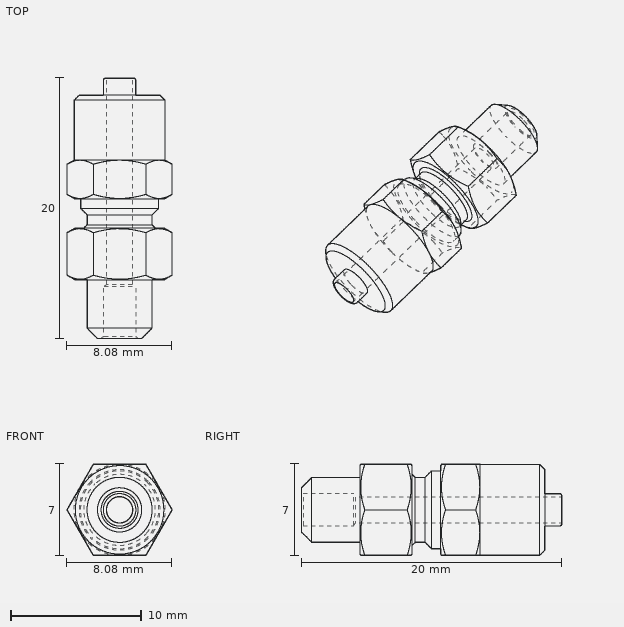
import cadquery as cq
import math

total_length = 20.0

across_flats = 7.0
face_radius = 3.4
chamfer_angle = 30.0
corner_radius = across_flats / 2 / math.cos(math.radians(30))

body_hex_start = 4.5
body_hex_end = 8.5
nut_start = 10.7
nut_hex_end = 13.7
nut_end = 18.7
collar_cone_start = 9.5
collar_cone_end = 10.0

stub_radius = 2.5
collar_radius = 3.0
nut_radius = across_flats / 2
tube_radius = 1.25
bore_radius = 1.0

stub_chamfer = 0.8
neck_flare = 0.25
nut_chamfer = 0.4
tube_fillet = 0.18

mouth_radius = 1.42
seat_radius = 1.25
mouth_depth = mouth_radius - seat_radius
seat_depth = 4.0
drill_point_angle = 118.0
seat_cone_length = (seat_radius - bore_radius) / math.tan(math.radians(drill_point_angle / 2))


def revolve_profile(points):
    """Revolve (radius, y) points about the Y axis."""
    return cq.Workplane("XY").polyline(points).close().revolve(360, (0, 0, 0), (0, 1, 0))


def chamfered_hexagon(start, end, start_face_radius, end_face_radius):
    """Hexagon along Y with corners pointing along X and conical chamfers on both faces."""
    prism = (
        cq.Workplane("XZ", origin=(0, start, 0))
        .polygon(6, 2 * corner_radius)
        .extrude(start - end)
    )
    slope = math.tan(math.radians(chamfer_angle))
    start_drop = (corner_radius - start_face_radius) * slope
    end_drop = (corner_radius - end_face_radius) * slope
    envelope = revolve_profile([
        (0, start),
        (start_face_radius, start),
        (corner_radius, start + start_drop),
        (corner_radius, end - end_drop),
        (end_face_radius, end),
        (0, end),
    ])
    return prism.intersect(envelope)


turned_body = revolve_profile([
    (0, 0),
    (stub_radius - stub_chamfer, 0),
    (stub_radius, stub_chamfer),
    (stub_radius, body_hex_start),
    (stub_radius + neck_flare, body_hex_start),
    (stub_radius + neck_flare, body_hex_end),
    (stub_radius, body_hex_end + neck_flare),
    (stub_radius, collar_cone_start),
    (collar_radius, collar_cone_end),
    (collar_radius, nut_start),
    (nut_radius, nut_hex_end),
    (nut_radius, nut_end - nut_chamfer),
    (nut_radius - nut_chamfer, nut_end),
    (0, nut_end),
])

tube = (
    cq.Workplane("XZ", origin=(0, nut_hex_end, 0))
    .circle(tube_radius)
    .extrude(nut_hex_end - total_length)
    .faces(">Y").edges().fillet(tube_fillet)
)

body_hex = chamfered_hexagon(body_hex_start, body_hex_end, face_radius, face_radius)
nut_hex = chamfered_hexagon(nut_start, nut_hex_end, face_radius, nut_radius)

bore = revolve_profile([
    (0, 0),
    (mouth_radius, 0),
    (seat_radius, mouth_depth),
    (seat_radius, seat_depth),
    (bore_radius, seat_depth + seat_cone_length),
    (bore_radius, total_length),
    (0, total_length),
])

result = turned_body.union(tube).union(body_hex).union(nut_hex).cut(bore)